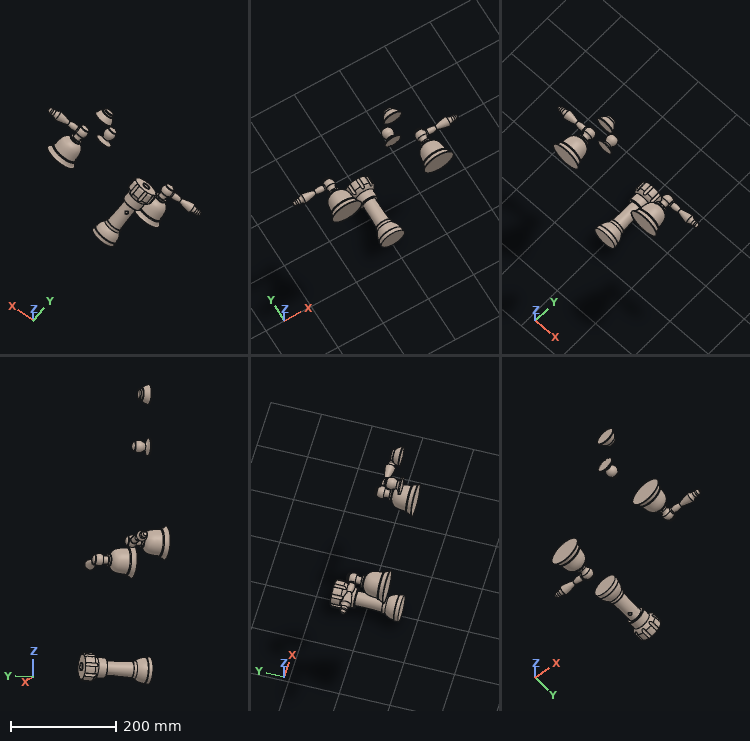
import cadquery as cq
import math


overall_width = 363.0
handle_spacing = 203.0
flange_z = 305.0
knob_z = 203.0
spout_z = -229.0

ball_radius = 12.0
ball_seam_drop = 5.0
ball_seam_radius = math.sqrt(ball_radius**2 - ball_seam_drop**2)
button_radius = 9.0
button_seat = 8.5
button_edge = 10.5
button_top = 13.5
button_flat_radius = 4.5
button_rounding = 0.85
ball_neck_radius = math.sqrt(ball_radius**2 - button_seat**2)

flange_radius = 20.0
flange_rim_height = 2.0
flange_cone_top_radius = 13.0
flange_cone_height = 14.0
flange_boss_radius = 11.0
flange_boss_base = 15.0
flange_height = 20.5
flange_cone_sag = 0.85
flange_chamfer = 2.0

knob_foot_radius = 17.5
knob_rim_height = 2.5
knob_cone_radius = 11.5
knob_cone_height = 4.5
knob_neck_radius = 7.5
knob_neck_height = 8.5
knob_ball_height = 20.0
knob_neck_sag = 0.5

bell_radius = 32.5
bell_rim_height = 1.0
bell_flare_radius = 29.0
bell_flare_height = 6.5
bell_bead_radius = 27.0
bell_bead_base = 10.5
bell_bead_top = 13.0
bell_wall_base_radius = 25.5
bell_shoulder_radius = 24.0
bell_shoulder_height = 29.0
bell_crown_radius = 11.0
bell_crown_height = 44.5
bell_flare_sag = 0.5
bell_wall_sag = 0.5
bell_crown_sag = 3.2

collar_radius = 12.0
collar_base = 46.5
collar_top = 50.0
stem_radius = 8.0
stem_top = 57.0
handle_ball_height = 66.0
stem_flare_sag = 0.5

lever_root_radius = 7.0
lever_root_end = 13.0
lever_waist_start_radius = 6.5
lever_grip_start = 32.0
lever_grip_start_radius = 4.5
lever_waist_sag = 1.45
lever_grip_peak = 58.5
lever_grip_peak_radius = 10.5
lever_grip_sag = 0.5
lever_grip_end = 67.0
lever_grip_end_radius = 7.0
lever_grip_end_sag = 1.45
lever_neck = 71.5
lever_neck_radius = 6.0
lever_bead = 75.0
lever_bead_radius = 6.5
lever_tip = (overall_width - handle_spacing) / 2
lever_tip_radius = 3.5
lever_tip_sag = 0.5

spout_base_radius = 26.0
spout_base_height = 8.0
spout_bell_radius = 25.0
spout_bell_base = 9.0
spout_ring_radius = 17.5
spout_ring_base = 28.5
spout_ring_top = 35.0
spout_bell_sag = 2.05
tube_base_radius = 15.5
tube_waist_radius = 14.5
tube_sag = 0.5

spout_collar_radius = 20.0
spout_collar_base = 88.0
spout_collar_top = 106.0
spout_collar_chamfer = 1.0
head_radius = 27.0
head_base = 115.0
head_shoulder = 129.5
head_top = 134.0
head_top_radius = 24.5
head_flare_sag = 0.85
head_shoulder_sag = 0.85
cap_radius = 7.5
cap_top = 136.0
flute_count = 8
flute_radius = 3.5
flute_base = 108.0

vent_height = 73.0
vent_diameter = 7.0
vent_depth = 6.0


def turn(outline):
    """Revolve a closed radius-height outline about the Y axis."""
    return outline.close().revolve(360, (0, 0), (0, 1))


def add_ball_and_button(outline, ball_height):
    """Continue an outline from the seam under a ball, over its button, to the axis."""
    return (
        outline
        .threePointArc((ball_radius, ball_height), (ball_neck_radius, ball_height + button_seat))
        .lineTo(button_radius, ball_height + button_seat)
        .lineTo(button_radius, ball_height + button_edge)
        .sagittaArc((button_flat_radius, ball_height + button_top), -button_rounding)
        .lineTo(0, ball_height + button_top)
    )


def make_flange():
    outline = (
        cq.Workplane("XY")
        .lineTo(flange_radius, 0)
        .lineTo(flange_radius, flange_rim_height)
        .sagittaArc((flange_cone_top_radius, flange_cone_height), -flange_cone_sag)
        .lineTo(flange_boss_radius, flange_boss_base)
        .lineTo(flange_boss_radius, flange_height - flange_chamfer)
        .lineTo(flange_boss_radius - flange_chamfer, flange_height)
        .lineTo(0, flange_height)
    )
    return turn(outline).translate((0, 0, flange_z))


def make_knob():
    outline = (
        cq.Workplane("XY")
        .lineTo(knob_foot_radius, 0)
        .lineTo(knob_foot_radius, knob_rim_height)
        .lineTo(knob_cone_radius, knob_cone_height)
        .sagittaArc((knob_neck_radius, knob_neck_height), knob_neck_sag)
        .lineTo(ball_seam_radius, knob_ball_height - ball_seam_drop)
    )
    return turn(add_ball_and_button(outline, knob_ball_height)).translate((0, 0, knob_z))


def make_handle_body():
    """Bell, collar, stem and ball of a handle."""
    outline = (
        cq.Workplane("XY")
        .lineTo(bell_radius, 0)
        .lineTo(bell_radius, bell_rim_height)
        .sagittaArc((bell_flare_radius, bell_flare_height), bell_flare_sag)
        .lineTo(bell_bead_radius, bell_bead_base)
        .lineTo(bell_bead_radius, bell_bead_top)
        .lineTo(bell_wall_base_radius, bell_bead_top)
        .sagittaArc((bell_shoulder_radius, bell_shoulder_height), -bell_wall_sag)
        .sagittaArc((bell_crown_radius, bell_crown_height), -bell_crown_sag)
        .lineTo(bell_crown_radius, collar_base)
        .lineTo(collar_radius, collar_base)
        .lineTo(collar_radius, collar_top)
        .lineTo(stem_radius, collar_top)
        .lineTo(stem_radius, stem_top)
        .sagittaArc((ball_seam_radius, handle_ball_height - ball_seam_drop), stem_flare_sag)
    )
    return turn(add_ball_and_button(outline, handle_ball_height))


def make_lever():
    """Turned lever that runs along +X from inside the ball."""
    outline = (
        cq.Workplane("XY")
        .lineTo(0, lever_root_radius)
        .lineTo(lever_root_end, lever_root_radius)
        .lineTo(lever_root_end, lever_waist_start_radius)
        .sagittaArc((lever_grip_start, lever_grip_start_radius), lever_waist_sag)
        .sagittaArc((lever_grip_peak, lever_grip_peak_radius), lever_grip_sag)
        .sagittaArc((lever_grip_end, lever_grip_end_radius), -lever_grip_end_sag)
        .lineTo(lever_neck, lever_neck_radius)
        .lineTo(lever_bead, lever_bead_radius)
        .sagittaArc((lever_tip, lever_tip_radius), -lever_tip_sag)
        .lineTo(lever_tip, 0)
        .close()
    )
    return outline.revolve(360, (0, 0), (1, 0)).translate((0, handle_ball_height, 0))


def make_handle(side):
    """Handle on the +X side (side = 1) or on the -X side (side = -1), lever outwards."""
    handle = make_handle_body().union(make_lever())
    if side < 0:
        handle = handle.mirror("YZ")
    return handle.translate((side * handle_spacing / 2, 0, 0))


def make_flutes():
    """Round-bottomed cutters spaced around the rim of the spout head."""
    return (
        cq.Workplane("XZ", origin=(0, flute_base, 0))
        .polarArray(head_radius, 0, 360, flute_count)
        .circle(flute_radius)
        .extrude(flute_base - cap_top)
    )


def make_vent():
    """Cutter for the blind hole in the -Z side of the tube."""
    return (
        cq.Workplane("XY", origin=(0, vent_height, -tube_base_radius))
        .circle(vent_diameter / 2)
        .extrude(vent_depth)
    )


def make_spout():
    outline = (
        cq.Workplane("XY")
        .lineTo(spout_base_radius, 0)
        .lineTo(spout_base_radius, spout_base_height)
        .lineTo(spout_bell_radius, spout_bell_base)
        .sagittaArc((spout_ring_radius, spout_ring_base), -spout_bell_sag)
        .lineTo(spout_ring_radius, spout_ring_top)
        .lineTo(tube_base_radius, spout_ring_top)
        .sagittaArc((tube_waist_radius, spout_collar_base), tube_sag)
        .lineTo(spout_collar_radius - spout_collar_chamfer, spout_collar_base)
        .lineTo(spout_collar_radius, spout_collar_base + spout_collar_chamfer)
        .lineTo(spout_collar_radius, spout_collar_top)
        .sagittaArc((head_radius, head_base), -head_flare_sag)
        .lineTo(head_radius, head_shoulder)
        .sagittaArc((head_top_radius, head_top), -head_shoulder_sag)
        .lineTo(cap_radius, head_top)
        .lineTo(cap_radius, cap_top)
        .lineTo(0, cap_top)
    )
    spout = turn(outline).cut(make_flutes()).cut(make_vent())
    return spout.translate((0, 0, spout_z))


flange = make_flange()
knob = make_knob()
spout = make_spout()
handles = [make_handle(side) for side in (-1, 1)]

result = cq.Compound.makeCompound(
    [flange.val(), knob.val(), spout.val(), *[handle.val() for handle in handles]]
)